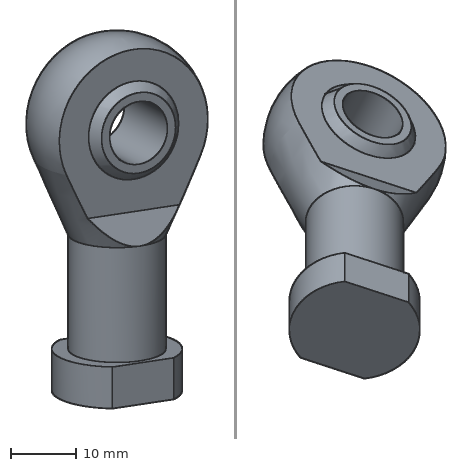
import cadquery as cq
import math

total_height = 56.95
head_radius = 14.0
head_half_width = 5.4
shank_radius = 7.5
shank_top = 25.0
slope_top = 29.95
collar_radius = 10.0
collar_half_width = 8.5
collar_height = 6.65
ball_half_width = 7.0
ball_end_radius = 6.45
bore_radius = 5.0

eye_height = total_height - head_radius
ball_radius = math.hypot(ball_half_width, ball_end_radius)

neck_drop = eye_height - shank_top
edge_distance = math.hypot(shank_radius, neck_drop)
edge_angle = math.atan2(-neck_drop, shank_radius)
tangent_angle = edge_angle + math.acos(head_radius / edge_distance)


def head_point(angle):
    """Point (radius, height) on the spherical head's profile."""
    return (head_radius * math.cos(angle), eye_height + head_radius * math.sin(angle))


def make_ball_blank():
    """Full sphere that forms the ball and its matching socket."""
    return cq.Workplane("XY").sphere(ball_radius).translate((0, 0, eye_height))


def make_head():
    """Revolved head and neck, trimmed to flat faces with sloped shoulders."""
    middle_angle = (tangent_angle + math.pi / 2) / 2
    blank = (
        cq.Workplane("XZ")
        .moveTo(0, shank_top)
        .lineTo(shank_radius, shank_top)
        .lineTo(*head_point(tangent_angle))
        .threePointArc(head_point(middle_angle), (0, total_height))
        .close()
        .revolve(360, (0, 0, 0), (0, 1, 0))
    )
    envelope = (
        cq.Workplane("XZ")
        .polyline([
            (-shank_radius, shank_top),
            (shank_radius, shank_top),
            (head_half_width, slope_top),
            (head_half_width, total_height),
            (-head_half_width, total_height),
            (-head_half_width, slope_top),
        ])
        .close()
        .extrude(head_radius, both=True)
    )
    return blank.intersect(envelope)


def make_collar():
    """Round collar with a wrench flat on each X side."""
    disc = cq.Workplane("XY").circle(collar_radius).extrude(collar_height)
    flats = (
        cq.Workplane("XY")
        .rect(2 * collar_half_width, 2 * collar_radius)
        .extrude(collar_height)
    )
    return disc.intersect(flats)


def make_housing():
    """Collar, shank and head in one piece, with the spherical socket cut out."""
    shank = cq.Workplane("XY").circle(shank_radius).extrude(shank_top)
    return make_collar().union(shank).union(make_head()).cut(make_ball_blank())


def make_ball():
    """Swivel ball with flat ends and a through bore."""
    ball_ends = cq.Workplane("XY").box(
        2 * ball_half_width, 2 * ball_radius, 2 * ball_radius
    ).translate((0, 0, eye_height))
    bore = (
        cq.Workplane("YZ")
        .center(0, eye_height)
        .circle(bore_radius)
        .extrude(ball_half_width, both=True)
    )
    return make_ball_blank().intersect(ball_ends).cut(bore)


housing = make_housing()
ball = make_ball()

result = cq.Compound.makeCompound([housing.solids().val(), ball.solids().val()])